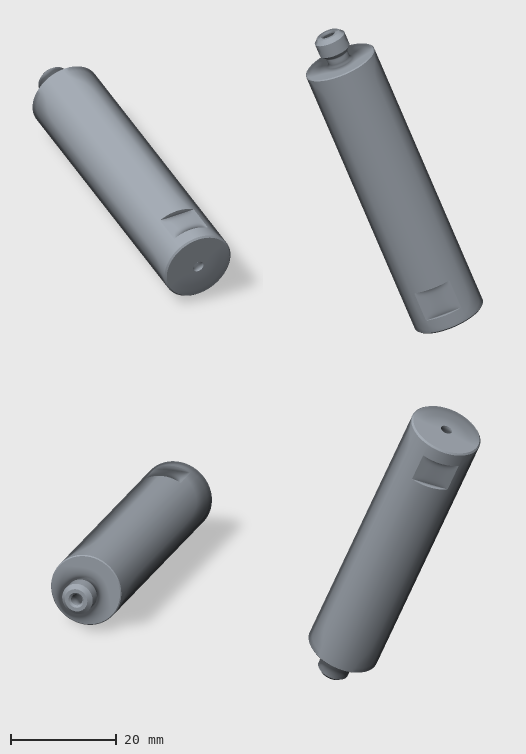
import cadquery as cq
import math

total_length = 62.0
body_radius = 7.0
body_start = 6.0
front_chamfer = 0.2
rear_chamfer = 0.3

nose_radius = 3.05
nose_chamfer = 0.8
shoulder_start = 3.4

neck_radius = 2.2
neck_front_blend_radius = 0.3
neck_rear_fillet = 0.5

bore_radius = 1.1
bore_countersink = 0.4

flat_spacing = 12.0
flat_length = 6.0
flat_rear_margin = 3.0

cos45 = math.cos(math.radians(45))
sin_half = math.sin(math.radians(22.5))
cos_half = math.cos(math.radians(22.5))
shoulder_bottom_r = neck_radius + neck_front_blend_radius * (1 - cos45)
shoulder_bottom_x = shoulder_start + nose_radius - shoulder_bottom_r
neck_start = shoulder_bottom_x + neck_front_blend_radius * cos45


def turned_body():
    """Solid of revolution: nose, necked groove and cylindrical body."""
    front_arc_mid = (
        neck_start - neck_front_blend_radius * sin_half,
        neck_radius + neck_front_blend_radius * (1 - cos_half),
    )
    rear_arc_mid = (
        body_start - neck_rear_fillet * (1 - cos45),
        neck_radius + neck_rear_fillet * (1 - cos45),
    )
    profile = (
        cq.Workplane("XZ")
        .lineTo(0, nose_radius - nose_chamfer)
        .lineTo(nose_chamfer, nose_radius)
        .lineTo(shoulder_start, nose_radius)
        .lineTo(shoulder_bottom_x, shoulder_bottom_r)
        .threePointArc(front_arc_mid, (neck_start, neck_radius))
        .lineTo(body_start - neck_rear_fillet, neck_radius)
        .threePointArc(rear_arc_mid, (body_start, neck_radius + neck_rear_fillet))
        .lineTo(body_start, body_radius - front_chamfer)
        .lineTo(body_start + front_chamfer, body_radius)
        .lineTo(total_length - rear_chamfer, body_radius)
        .lineTo(total_length, body_radius - rear_chamfer)
        .lineTo(total_length, 0)
        .close()
    )
    return profile.revolve(360, (0, 0, 0), (1, 0, 0))


def bore_cutter():
    """Axial through bore with a 45 degree countersink at the nose."""
    mouth_radius = bore_radius + bore_countersink
    profile = (
        cq.Workplane("XZ")
        .lineTo(0, mouth_radius)
        .lineTo(bore_countersink, bore_radius)
        .lineTo(total_length, bore_radius)
        .lineTo(total_length, 0)
        .close()
    )
    return profile.revolve(360, (0, 0, 0), (1, 0, 0))


def flat_cutter(side):
    """Block removing the material beyond one flat; side is +1 (top) or -1."""
    depth = body_radius
    center_x = total_length - flat_rear_margin - flat_length / 2
    center_z = side * (flat_spacing + depth) / 2
    block = cq.Workplane("XY").box(flat_length, 2 * body_radius, depth)
    return block.translate((center_x, 0, center_z))


result = turned_body().cut(bore_cutter())
for side in (1, -1):
    result = result.cut(flat_cutter(side))